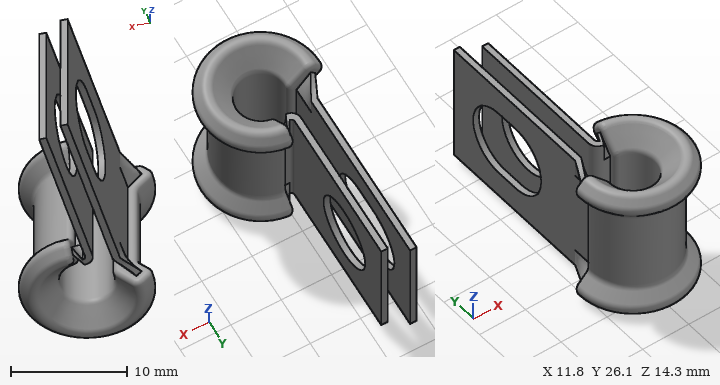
import cadquery as cq
import math

outer_radius = 5.885
total_height = 14.3
waist_radius = 4.6
wall = 2.2
bend_radius = 0.75
end_rounding = 0.5
wrap_angle = 270
straight_length = 0.63

strap_thickness = 0.65
strap_height = 12.65
strap_radius = waist_radius - wall / 2
strap_inner = strap_radius - strap_thickness / 2
strap_outer = strap_radius + strap_thickness / 2
flat_half_height = 4.52
strap_tip_setback = 0.85

total_length = 26.1
long_leg_end = total_length - outer_radius
short_leg_end = 19.08
long_leg_shoulder = 3.15
short_leg_inner_x = -0.97
bend_inner = 0.31
hole_diameter = 7.15
slot_length = 9.55
hole_y = 12.7

half_height = total_height / 2
half_strap = strap_height / 2
root_two = math.sqrt(2)

corner_loss = (root_two - 1) * bend_radius
outer_tip_radius = outer_radius + corner_loss
top_tip_z = half_height + corner_loss
tip_run = wall / root_two
outer_tip_z = top_tip_z - tip_run
top_tip_radius = outer_tip_radius - tip_run
bore_radius = waist_radius - wall
outer_root_z = outer_tip_z - (outer_tip_radius - waist_radius)
inner_root_z = top_tip_z - (top_tip_radius - bore_radius)

arc_start = cq.Plane(origin=(0, 0, 0), xDir=(-1, 0, 0), normal=(0, 1, 0))
long_leg_face = cq.Plane(origin=(0, straight_length, 0), xDir=(-1, 0, 0), normal=(0, 1, 0))
short_leg_face = cq.Plane(origin=(0, 0, 0), xDir=(0, 1, 0), normal=(-1, 0, 0))


def make_cushion():
    """Sweep the flared wall section round Z, run it on straight, then round both end faces."""
    upper_half = [
        (bore_radius, inner_root_z),
        (top_tip_radius, top_tip_z),
        (outer_tip_radius, outer_tip_z),
        (waist_radius, outer_root_z),
    ]
    lower_half = [(r, -z) for r, z in reversed(upper_half)]
    outline = upper_half + lower_half + upper_half[:1]
    section = cq.Sketch().polygon(outline).vertices().fillet(bend_radius)
    arc = cq.Workplane(arc_start).placeSketch(section).revolve(wrap_angle, (0, 0), (0, 1))
    straight = cq.Workplane(arc_start).placeSketch(section).extrude(straight_length)
    cushion = arc.union(straight)
    for plane in (long_leg_face, short_leg_face):
        face_centre = plane.toWorldCoords((strap_radius, 0, 0)).toTuple()
        end_face = cushion.faces(cq.NearestToPointSelector(face_centre))
        cushion = end_face.edges().fillet(end_rounding)
    return cushion


def block(x_range, y_range, half_z):
    """A box centred on Z = 0 that fills the given X and Y ranges."""
    x_low, x_high = x_range
    y_low, y_high = y_range
    return (
        cq.Workplane("XY", origin=(x_low, y_low, 0))
        .box(x_high - x_low, y_high - y_low, 2 * half_z, centered=(False, False, True))
    )


def flared_corner(plane, length, side):
    """Blend one strap corner from the flat leg into the flared section at an end face."""
    half_run = strap_thickness / 2 / root_two
    setback_run = strap_tip_setback / root_two
    edge_radius = (outer_tip_radius + top_tip_radius) / 2 - setback_run
    edge_z = (outer_tip_z + top_tip_z) / 2 - setback_run
    flared = [
        (strap_inner, flat_half_height),
        (strap_outer, flat_half_height),
        (edge_radius + half_run, edge_z - half_run),
        (edge_radius - half_run, edge_z + half_run),
    ]
    flat = [
        (strap_inner, flat_half_height),
        (strap_outer, flat_half_height),
        (strap_outer, half_strap),
        (strap_inner, half_strap),
    ]
    return (
        cq.Workplane(plane)
        .polyline([(r, side * z) for r, z in flared]).close()
        .workplane(offset=length)
        .polyline([(r, side * z) for r, z in flat]).close()
        .loft(ruled=True)
    )


def make_long_leg():
    """The flat leg with the slot, leaving the cushion straight along +Y."""
    x_range = (-strap_outer, -strap_inner)
    leg = block(x_range, (long_leg_shoulder, long_leg_end), half_strap)
    leg = leg.union(block(x_range, (straight_length, long_leg_shoulder), flat_half_height))
    slot = (
        cq.Workplane("YZ", origin=(-strap_radius, hole_y, 0))
        .slot2D(slot_length, hole_diameter)
        .extrude(strap_thickness, both=True)
    )
    leg = leg.cut(slot)
    for side in (1, -1):
        leg = leg.union(flared_corner(long_leg_face, long_leg_shoulder - straight_length, side))
    return leg


def make_short_leg():
    """The leg with the round hole, leaving the cushion along -X and bent to +Y."""
    bend_outer = bend_inner + strap_thickness
    outer_x = short_leg_inner_x - strap_thickness
    bend_x = outer_x + bend_outer
    bend_y = strap_inner + bend_outer
    outer_arc_offset = bend_outer / root_two
    inner_arc_offset = bend_inner / root_two
    leg = (
        cq.Workplane("XY", origin=(0, 0, -half_strap))
        .moveTo(outer_x, short_leg_end)
        .lineTo(outer_x, bend_y)
        .threePointArc((bend_x - outer_arc_offset, bend_y - outer_arc_offset), (bend_x, strap_inner))
        .lineTo(bend_x, strap_outer)
        .threePointArc((bend_x - inner_arc_offset, bend_y - inner_arc_offset), (short_leg_inner_x, bend_y))
        .lineTo(short_leg_inner_x, short_leg_end)
        .close()
        .extrude(strap_height)
    )
    leg = leg.union(block((bend_x, 0), (strap_inner, strap_outer), flat_half_height))
    hole = (
        cq.Workplane("YZ", origin=(outer_x, hole_y, 0))
        .circle(hole_diameter / 2)
        .extrude(strap_thickness)
    )
    leg = leg.cut(hole)
    for side in (1, -1):
        leg = leg.union(flared_corner(short_leg_face, -bend_x, side))
    return leg


result = make_cushion().union(make_long_leg()).union(make_short_leg())